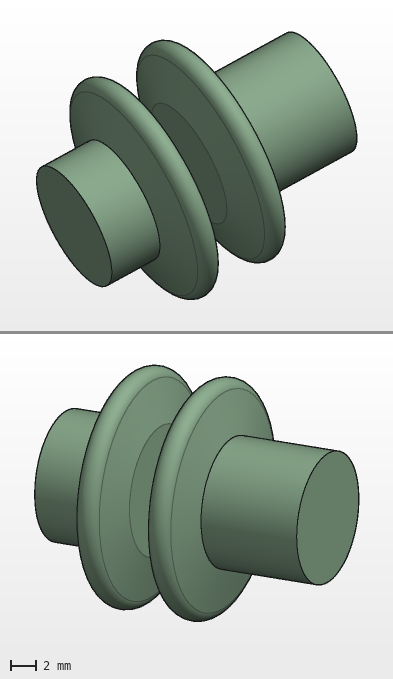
import cadquery as cq
import math

outer_radius = 9.78
rim_radius = 1.0
stem_radius = 5.37
disc_front_depth = 2.08
disc_back_depth = 1.8
overall_length = 23.35
disc_gap = 2.5
front_stem_length = 4.57
disc_thickness = disc_front_depth + disc_back_depth
back_stem_length = overall_length - front_stem_length - disc_gap - 2 * disc_thickness

rim_centre_radius = outer_radius - rim_radius


def cone_tangent_offset(depth):
    """Radial and axial offset from the rim centre to where a cone meets the rim.

    The cone starts at the stem radius, at the given axial depth from the rim centre.
    """
    radial_run = rim_centre_radius - stem_radius
    distance = math.hypot(radial_run, depth)
    angle = math.atan2(depth, -radial_run) - math.acos(rim_radius / distance)
    return rim_radius * math.cos(angle), rim_radius * math.sin(angle)


def make_contact(rim_y, front_stem=0, back_stem=0):
    """Solid double-cone disc with a round rim, with a stem on its -Y side, its +Y side or both."""
    front_radial, front_axial = cone_tangent_offset(disc_front_depth)
    back_radial, back_axial = cone_tangent_offset(disc_back_depth)
    disc_front_y = rim_y - disc_front_depth
    disc_back_y = rim_y + disc_back_depth
    front_end_y = disc_front_y - front_stem
    back_end_y = disc_back_y + back_stem

    profile = cq.Workplane("XY").moveTo(0, front_end_y).lineTo(stem_radius, front_end_y)
    if front_stem > 0:
        profile = profile.lineTo(stem_radius, disc_front_y)
    profile = (
        profile.lineTo(rim_centre_radius + front_radial, rim_y - front_axial)
        .threePointArc(
            (outer_radius, rim_y),
            (rim_centre_radius + back_radial, rim_y + back_axial),
        )
        .lineTo(stem_radius, disc_back_y)
    )
    if back_stem > 0:
        profile = profile.lineTo(stem_radius, back_end_y)
    return profile.lineTo(0, back_end_y).close().revolve(360, (0, 0, 0), (0, 1, 0))


front_contact = make_contact(
    rim_y=-disc_gap / 2 - disc_back_depth,
    front_stem=front_stem_length,
)

back_contact = make_contact(
    rim_y=disc_gap / 2 + disc_front_depth,
    back_stem=back_stem_length,
)

result = cq.Compound.makeCompound([front_contact.val(), back_contact.val()])